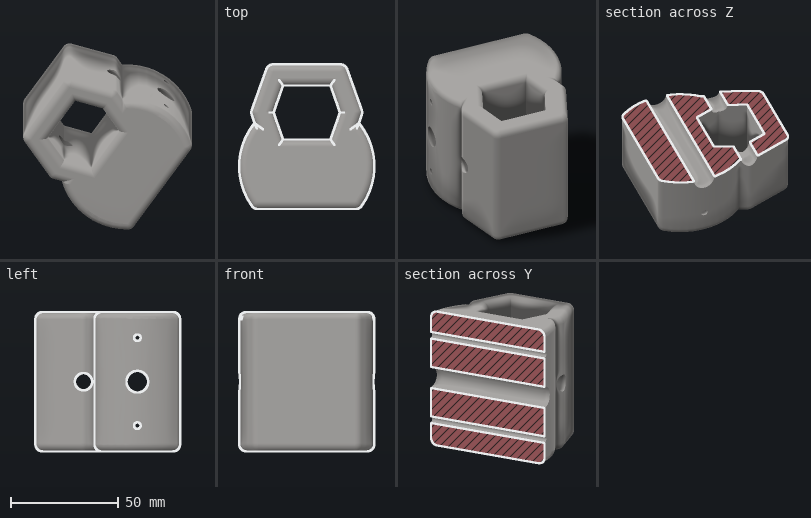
import cadquery as cq

height = 65.0
depth = 67.5
round_radius = 3.5

base_radius = 31.5
base_center_y = 20.0
base_depth = 2 * base_center_y

socket_center_y = 45.0
socket_half_depth = depth - socket_center_y
socket_half_width = 26.05
socket_flat_half_width = 18.0
opening_half_depth = 12.5
opening_half_width = 15.4
opening_flat_half_width = 11.0

socket_hole_diameter = 7.95
base_hole_diameter = 10.0
pin_hole_diameter = 3.0
pin_offset = 20.45


def hexagon_prism(half_width, flat_half_width, half_depth):
    """Upright prism with corners on X and flats at the front and back."""
    points = [
        (half_width, 0),
        (flat_half_width, half_depth),
        (-flat_half_width, half_depth),
        (-half_width, 0),
        (-flat_half_width, -half_depth),
        (flat_half_width, -half_depth),
    ]
    prism = cq.Workplane("XY").polyline(points).close().extrude(height)
    return prism.translate((0, socket_center_y, 0))


def rounded_base():
    cylinder = cq.Workplane("XY").circle(base_radius).extrude(height)
    flats = cq.Workplane("XY").rect(2 * base_radius, base_depth).extrude(height)
    base = cylinder.intersect(flats).translate((0, base_center_y, 0))
    return base.edges("(not |Z) or (|Z and <Y)").fillet(round_radius)


def cross_hole(diameter, y, z):
    """Cylinder along X, long enough to pass through both sides."""
    hole = cq.Workplane("YZ").center(y, z).circle(diameter / 2)
    return hole.extrude(base_radius, both=True)


base = rounded_base()
socket = hexagon_prism(socket_half_width, socket_flat_half_width, socket_half_depth)
socket = socket.edges().fillet(round_radius)
result = base.union(socket)

opening = hexagon_prism(opening_half_width, opening_flat_half_width, opening_half_depth)
result = result.cut(opening)
for rim_face in ("<Z", ">Z"):
    rim = result.faces(rim_face).wires(cq.selectors.LengthNthSelector(0))
    result = result.newObject(rim.vals()[0].Edges()).fillet(round_radius)

middle = height / 2
result = result.cut(cross_hole(socket_hole_diameter, socket_center_y, middle))
result = result.cut(cross_hole(base_hole_diameter, base_center_y, middle))
for side in (-1, 1):
    result = result.cut(cross_hole(pin_hole_diameter, base_center_y, middle + side * pin_offset))